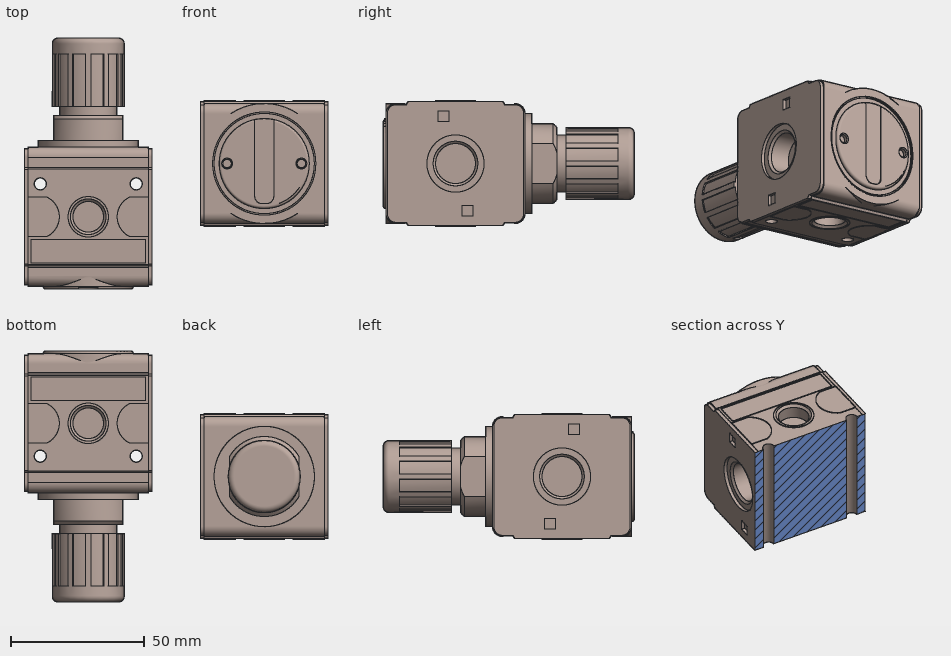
import cadquery as cq
import math


OVERALL_LENGTH = 94.0
OVERALL_WIDTH = 47.8
OVERALL_HEIGHT = 47.0

KNOB_END = 66.9
RIB_END = 60.9
KNOB_START = 41.3
NUT_END = 38.0
FLANGE_END = 28.6
CAP_FACE = KNOB_END - OVERALL_LENGTH

BODY_WIDTH = 45.0
BODY_HALF_LENGTH = 26.0
BOSS_RISE = 0.3
BODY_TOP = OVERALL_HEIGHT / 2 - BOSS_RISE
SHOULDER_TOP = 22.5
GROOVE_FLOOR = 22.2
PLATFORM_HALF = 17.9
PLATFORM_FOOT = 18.4
FRONT_GROOVE_END = 19.0
BACK_GROOVE_END = 22.1
BODY_CORNER = 3.8

PLATE_HALF_LENGTH = 25.5
PLATE_TOP = 23.1
PLATE_SHOULDER_TOP = 22.0
PLATE_PLATFORM_HALF = 17.7
PLATE_CORNER = 3.1

KNOB_DIAMETER = 27.0
KNOB_ROUND = 2.2
PANEL_COUNT = 12
PANEL_ANGLE = 21.2
PANEL_DEPTH = 0.6
NECK_DIAMETER = 21.4
NUT_DIAMETER = 30.0
NUT_FLATS = 25.9
NUT_CHAMFER = 1.4
FLANGE_DIAMETER = 37.6

CAP_RECESS_DIAMETER = 38.6
CAP_RIM_DIAMETER = 37.5
CAP_DIAMETER = 33.7
RECESS_DEPTH = 0.6
RIM_DEPTH = 0.3
CAP_ROUND = 0.9
SLOT_WIDTH = 7.1
SLOT_BOTTOM = -15.0
SLOT_DEPTH = 0.6
SLOT_ROUND = 2.8
PIN_HOLE_OFFSET = 13.9
PIN_HOLE_DIAMETER = 3.2
PIN_HOLE_MOUTH = 4.0
PIN_HOLE_DEPTH = 1.9

SIDE_SEAT_DIAMETER = 21.4
SIDE_SEAT_DEPTH = 1.3
SIDE_PORT_MOUTH = 16.7
SIDE_PORT_DIAMETER = 14.9
SIDE_PORT_DEPTH = 8.8
KEY_SIZE = 4.0
KEY_DEPTH = 1.3
KEY_Y = 4.5
KEY_Z = 17.7

GAUGE_BOSS_DIAMETER = 15.1
GAUGE_PORT_MOUTH = 13.35
GAUGE_PORT_DIAMETER = 11.5
GAUGE_PORT_DEPTH = 5.6
PAD_WIDTH = 14.9
PAD_INNER_X = 10.8
PAD_STRAIGHT_X = 15.7
LABEL_LENGTH = 42.9
LABEL_WIDTH = 8.8
LABEL_Y = -12.9
LABEL_DEPTH = 0.3
MOUNT_HOLE_DIAMETER = 4.4
MOUNT_HOLE_X = 18.0
MOUNT_HOLE_Y = 12.3


def y_cylinder(diameter, start, end):
    """Cylinder on the regulator axis between two Y stations."""
    plane = cq.Workplane("XZ", origin=(0, start, 0))
    return plane.circle(diameter / 2).extrude(start - end)


def y_cone(start_diameter, end_diameter, start, end):
    """Truncated cone on the regulator axis between two Y stations."""
    start_circle = cq.Workplane("XZ", origin=(0, start, 0)).circle(start_diameter / 2)
    return start_circle.workplane(offset=start - end).circle(end_diameter / 2).loft()


def with_mirror(shape, plane):
    """The shape together with its mirror image."""
    return shape.union(shape.mirror(plane))


def rounded_block(width, length, height, corner):
    """Block with its four edges along X rounded."""
    return cq.Workplane("XY").box(width, length, height).edges("|X").fillet(corner)


def platform(width, half_length, top, foot):
    """Slab through the block whose top and bottom rise between sloped ends."""
    upper = [(PLATFORM_FOOT, foot), (half_length, top), (-half_length, top), (-PLATFORM_FOOT, foot)]
    lower = [(y, -z) for y, z in reversed(upper)]
    return cq.Workplane("YZ").polyline(upper + lower).close().extrude(width / 2, both=True)


def body():
    """Middle block with a cross groove beside each platform end and a round lobe in front."""
    core = rounded_block(BODY_WIDTH, 2 * BODY_HALF_LENGTH, 2 * SHOULDER_TOP, BODY_CORNER)
    groove_length = FRONT_GROOVE_END + BACK_GROOVE_END
    groove_depth = SHOULDER_TOP - GROOVE_FLOOR
    groove = cq.Workplane("XY").box(BODY_WIDTH, groove_length, groove_depth, centered=(True, False, False))
    groove = groove.translate((0, -FRONT_GROOVE_END, GROOVE_FLOOR))
    lobe = y_cylinder(2 * SHOULDER_TOP, -BODY_HALF_LENGTH, BODY_CORNER - BODY_HALF_LENGTH)
    raised = platform(BODY_WIDTH, PLATFORM_HALF, BODY_TOP, GROOVE_FLOOR)
    return core.cut(with_mirror(groove, "XY")).union(raised).union(lobe)


def end_plates():
    """Slightly shorter plates closing both X ends, made as one slab through the body."""
    slab = rounded_block(OVERALL_WIDTH, 2 * PLATE_HALF_LENGTH, 2 * PLATE_SHOULDER_TOP, PLATE_CORNER)
    return slab.union(platform(OVERALL_WIDTH, PLATE_PLATFORM_HALF, PLATE_TOP, PLATE_SHOULDER_TOP))


def knob():
    """Round-ended knob with shallow panels sunk between narrow ribs."""
    grip = y_cylinder(KNOB_DIAMETER, KNOB_START, KNOB_END).faces(">Y").edges().fillet(KNOB_ROUND)
    half_angle = math.radians(PANEL_ANGLE / 2)
    corner_x = KNOB_DIAMETER * math.cos(half_angle)
    corner_z = KNOB_DIAMETER * math.sin(half_angle)
    sector = (
        cq.Workplane("XZ", origin=(0, KNOB_START, 0))
        .polyline([(0, 0), (corner_x, corner_z), (corner_x, -corner_z)])
        .close()
        .extrude(KNOB_START - RIB_END)
    )
    shell = y_cylinder(KNOB_DIAMETER, KNOB_START, RIB_END)
    shell = shell.cut(y_cylinder(KNOB_DIAMETER - 2 * PANEL_DEPTH, KNOB_START, RIB_END))
    panel = sector.intersect(shell)
    pitch = 360 / PANEL_COUNT
    for index in range(PANEL_COUNT):
        angle = (index + 0.5) * pitch
        grip = grip.cut(panel.rotate((0, 0, 0), (0, 1, 0), angle))
    return grip


def nut():
    """Round collar with a chamfered rim and two flats facing X."""
    collar = y_cylinder(NUT_DIAMETER, FLANGE_END, NUT_END).faces(">Y").edges().chamfer(NUT_CHAMFER)
    flats = cq.Workplane("XY").box(NUT_FLATS, 2 * NUT_END, NUT_DIAMETER)
    return collar.intersect(flats)


def knob_assembly():
    flange = y_cylinder(FLANGE_DIAMETER, 0, FLANGE_END)
    neck = y_cylinder(NECK_DIAMETER, 0, KNOB_START)
    return flange.union(nut()).union(neck).union(knob())


def front_recess():
    """Shallow round recess in the front face, deeper in the thin gap around the cap rim."""
    face = -BODY_HALF_LENGTH
    gap = y_cylinder(CAP_RECESS_DIAMETER, face, face + RECESS_DEPTH)
    return gap.cut(y_cylinder(CAP_RIM_DIAMETER, face + RIM_DEPTH, face + RECESS_DEPTH))


def front_cap():
    """Disc with a rounded rim, standing in the front recess."""
    return y_cylinder(CAP_DIAMETER, CAP_FACE, 0).faces("<Y").edges().fillet(CAP_ROUND)


def cap_slot():
    """Slot open at the top of the cap and rounded at its lower end."""
    top = CAP_DIAMETER / 2
    return (
        cq.Workplane("XZ", origin=(0, CAP_FACE, 0))
        .center(0, (top + SLOT_BOTTOM) / 2)
        .rect(SLOT_WIDTH, top - SLOT_BOTTOM)
        .extrude(-SLOT_DEPTH)
        .edges("|Y and <Z")
        .fillet(SLOT_ROUND)
    )


def pin_holes():
    """Two blind holes beside the slot, each with a small countersink."""
    sink = (PIN_HOLE_MOUTH - PIN_HOLE_DIAMETER) / 2
    hole = y_cylinder(PIN_HOLE_DIAMETER, CAP_FACE, CAP_FACE + PIN_HOLE_DEPTH)
    hole = hole.union(y_cone(PIN_HOLE_MOUTH, PIN_HOLE_DIAMETER, CAP_FACE, CAP_FACE + sink))
    return with_mirror(hole.translate((PIN_HOLE_OFFSET, 0, 0)), "YZ")


def blind_port(mouth_diameter, bore_diameter, depth):
    """Port cutter pointing down from Z = 0, with a 45 degree entry chamfer."""
    sink = (mouth_diameter - bore_diameter) / 2
    bore = cq.Workplane("XY").circle(bore_diameter / 2).extrude(-depth)
    entry = cq.Workplane("XY").circle(mouth_diameter / 2)
    entry = entry.workplane(offset=-sink).circle(bore_diameter / 2).loft()
    return bore.union(entry)


def side_ports():
    """Port with a flat seat in each end plate."""
    seat_level = OVERALL_WIDTH / 2 - SIDE_SEAT_DEPTH
    port = blind_port(SIDE_PORT_MOUTH, SIDE_PORT_DIAMETER, SIDE_PORT_DEPTH).translate((0, 0, seat_level))
    seat_plane = cq.Workplane("XY", origin=(0, 0, seat_level))
    seat = seat_plane.circle(SIDE_SEAT_DIAMETER / 2).extrude(SIDE_SEAT_DEPTH)
    cutter = port.union(seat).rotate((0, 0, 0), (0, 1, 0), -90)
    return with_mirror(cutter, "YZ")


def key_pockets():
    """Two small square pockets on opposite corners of each port."""
    plane = cq.Workplane("YZ", origin=(-OVERALL_WIDTH / 2, 0, 0))
    pockets = plane.pushPoints([(-KEY_Y, KEY_Z), (KEY_Y, -KEY_Z)]).rect(KEY_SIZE, KEY_SIZE).extrude(KEY_DEPTH)
    return with_mirror(pockets, "YZ")


def gauge_ports():
    port = blind_port(GAUGE_PORT_MOUTH, GAUGE_PORT_DIAMETER, GAUGE_PORT_DEPTH)
    return with_mirror(port.translate((0, 0, OVERALL_HEIGHT / 2)), "XY")


def raised_faces():
    """Round boss around each gauge port and a round-nosed pad at each X end."""
    top_plane = cq.Workplane("XY", origin=(0, 0, BODY_TOP))
    boss = top_plane.circle(GAUGE_BOSS_DIAMETER / 2).extrude(BOSS_RISE)
    edge_x = BODY_WIDTH / 2
    half = PAD_WIDTH / 2
    pad = (
        top_plane.moveTo(edge_x, -half)
        .lineTo(PAD_STRAIGHT_X, -half)
        .threePointArc((PAD_INNER_X, 0), (PAD_STRAIGHT_X, half))
        .lineTo(edge_x, half)
        .close()
        .extrude(BOSS_RISE)
    )
    return with_mirror(boss.union(with_mirror(pad, "YZ")), "XY")


def label_recesses():
    plane = cq.Workplane("XY", origin=(0, LABEL_Y, BODY_TOP))
    return with_mirror(plane.rect(LABEL_LENGTH, LABEL_WIDTH).extrude(-LABEL_DEPTH), "XY")


def mounting_holes():
    plane = cq.Workplane("XY", origin=(0, MOUNT_HOLE_Y, 0))
    holes = plane.pushPoints([(-MOUNT_HOLE_X, 0), (MOUNT_HOLE_X, 0)]).circle(MOUNT_HOLE_DIAMETER / 2)
    return holes.extrude(OVERALL_HEIGHT, both=True)


additions = [front_cap(), knob_assembly(), raised_faces()]
cutters = [
    cap_slot(),
    pin_holes(),
    side_ports(),
    key_pockets(),
    gauge_ports(),
    label_recesses(),
    mounting_holes(),
]

result = body().union(end_plates()).cut(front_recess())
for addition in additions:
    result = result.union(addition)
for cutter in cutters:
    result = result.cut(cutter)